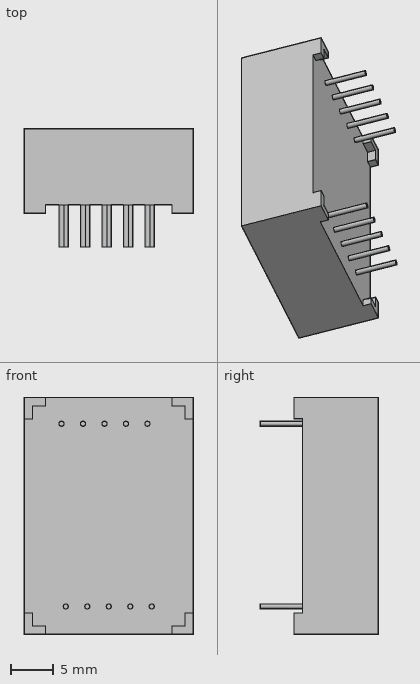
import cadquery as cq

body_width = 20.0
body_depth = 9.0
body_height = 28.0

foot_height = 1.0
foot_leg = 2.54
foot_thickness = 1.0

pin_pitch = 2.54
pins_per_row = 5
pin_diameter = 0.6
pin_length = 5.0
row_spacing = 8.5 * pin_pitch
row_center_z = 0.1
upper_row_center_x = -0.5
lower_row_center_x = 0.0


def make_body():
    """Plain rectangular housing, centred on X and Z."""
    return cq.Workplane("XY").box(
        body_width, body_depth, body_height, centered=(True, False, True)
    )


def make_foot(side_x, side_z):
    """L-shaped foot in the corner picked by the signs of X and Z."""
    corner_x = side_x * body_width / 2
    corner_z = side_z * body_height / 2
    tip_x = corner_x - side_x * foot_leg
    tip_z = corner_z - side_z * foot_leg
    inner_x = corner_x - side_x * foot_thickness
    inner_z = corner_z - side_z * foot_thickness
    outline = [
        (corner_x, corner_z),
        (tip_x, corner_z),
        (tip_x, inner_z),
        (inner_x, inner_z),
        (inner_x, tip_z),
        (corner_x, tip_z),
    ]
    return cq.Workplane("XZ").polyline(outline).close().extrude(foot_height)


def make_pin_row(center_x, center_z):
    """Evenly spaced pins standing on the pin face and pointing to -Y."""
    first_x = center_x - pin_pitch * (pins_per_row - 1) / 2
    centers = [(first_x + i * pin_pitch, center_z) for i in range(pins_per_row)]
    return cq.Workplane("XZ").pushPoints(centers).circle(pin_diameter / 2).extrude(pin_length)


result = make_body()
for side_x in (-1, 1):
    for side_z in (-1, 1):
        result = result.union(make_foot(side_x, side_z))
result = result.union(make_pin_row(upper_row_center_x, row_center_z + row_spacing / 2))
result = result.union(make_pin_row(lower_row_center_x, row_center_z - row_spacing / 2))